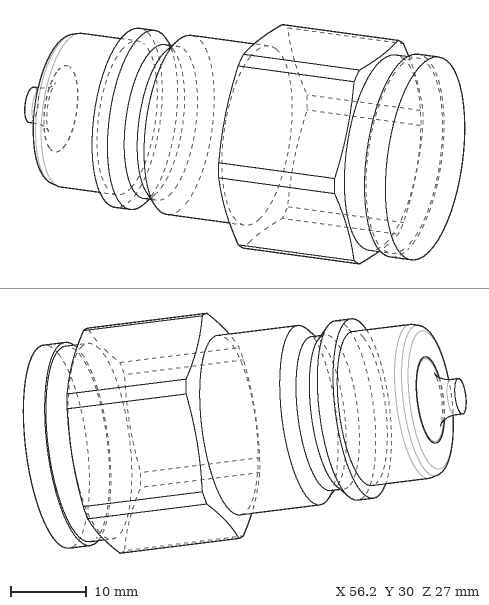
import cadquery as cq
import math

length = 56.2
pin_straight_end = 1.05
front_face_x = 4.15
lead_in_end = 5.7
collar_start = 13.65
collar_end = 15.85
neck_start = 17.55
neck_end = 19.4
body_start = 21.1
hex_start = 32.2
hex_end = 50.15
rim_start = 53.2

pin_radius = 2.35
pin_flare = 3.15
recess_radius = 5.75
plug_radius = 10.25
body_radius = 11.9
relief_radius = 13.0
rim_radius = 13.5

nose_round = 0.85
taper_angle = math.radians(15)

across_flats = 27.0
corner_radius = 15.0
chamfer_angle = math.radians(15)


def revolve_profile(profile):
    """Turn a closed half section about the X axis."""
    return profile.close().revolve(360, (0, 0, 0), (1, 0, 0))


def turned_body():
    """Pin, plug, locking groove, body and rear rim in one half section."""
    recess_floor_x = pin_straight_end + pin_flare
    flare_center_r = pin_radius + pin_flare
    flare_mid = (
        pin_straight_end + pin_flare * math.sin(math.pi / 4),
        flare_center_r - pin_flare * math.cos(math.pi / 4),
    )

    round_center_x = front_face_x + nose_round
    round_end_x = round_center_x - nose_round * math.sin(taper_angle)
    round_end_r = plug_radius - (lead_in_end - round_end_x) * math.tan(taper_angle)
    round_center_r = round_end_r - nose_round * math.cos(taper_angle)
    mid_angle = (math.pi / 2 + taper_angle) / 2
    round_mid = (
        round_center_x - nose_round * math.sin(mid_angle),
        round_center_r + nose_round * math.cos(mid_angle),
    )

    profile = (
        cq.Workplane("XY")
        .lineTo(0, pin_radius)
        .lineTo(pin_straight_end, pin_radius)
        .threePointArc(flare_mid, (recess_floor_x, flare_center_r))
        .lineTo(recess_floor_x, recess_radius)
        .lineTo(front_face_x, recess_radius)
        .lineTo(front_face_x, round_center_r)
        .threePointArc(round_mid, (round_end_x, round_end_r))
        .lineTo(lead_in_end, plug_radius)
        .lineTo(collar_start, plug_radius)
        .lineTo(collar_start, body_radius)
        .lineTo(collar_end, body_radius)
        .lineTo(neck_start, plug_radius)
        .lineTo(neck_end, plug_radius)
        .lineTo(body_start, body_radius)
        .lineTo(hex_start, body_radius)
        .lineTo(hex_end, relief_radius)
        .lineTo(rim_start, relief_radius)
        .lineTo(rim_start, rim_radius)
        .lineTo(length, rim_radius)
        .lineTo(length, 0)
    )
    return revolve_profile(profile)


def hexagon():
    """Wrench hexagon, corners along Y, trimmed by a chamfered cylinder."""
    prism = (
        cq.Workplane("YZ", origin=(hex_start, 0, 0))
        .polygon(6, across_flats / math.cos(math.pi / 6))
        .extrude(hex_end - hex_start)
    )
    front_chamfer = (corner_radius - body_radius) * math.tan(chamfer_angle)
    rear_chamfer = (corner_radius - relief_radius) * math.tan(chamfer_angle)
    envelope = revolve_profile(
        cq.Workplane("XY")
        .moveTo(hex_start, 0)
        .lineTo(hex_start, body_radius)
        .lineTo(hex_start + front_chamfer, corner_radius)
        .lineTo(hex_end - rear_chamfer, corner_radius)
        .lineTo(hex_end, relief_radius)
        .lineTo(hex_end, 0)
    )
    return prism.intersect(envelope)


result = turned_body().union(hexagon())